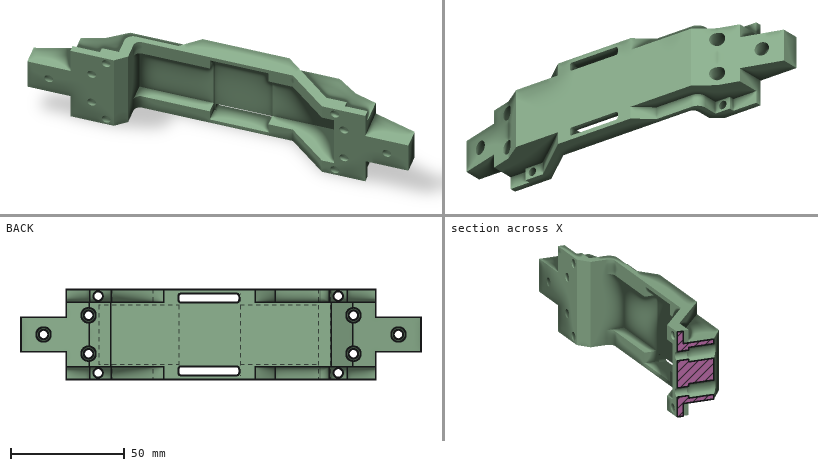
import cadquery as cq

length = 177.0
depth = 25.0
height = 40.0
core_height = 28.3
arm_height = 15.4
arm_length = 20.0

half_length = length / 2
body_end = half_length - arm_length

bridge_half = 48.7
shoulder_half = 58.2
shoulder_y = 18.2
tip_y = 9.2

foot_half = 48.3
arch_y = 14.9
arch_left = -43.0
arch_right = 30.1
arch_chamfer_y = 4.2
arch_fillet = 3.0

foot_thickness = 3.2
pad_thickness = 5.8
pad_left = -55.8
pad_right = 58.0
flange_y = 17.5
flange_wall_left = -47.8
flange_fillet = 4.0
left_ramp_start = -23.9
left_ramp_end = -15.0
right_ramp_start = 25.3
right_ramp_end = 48.5

pocket_right = 54.0
pocket_height = 26.2
pocket_floor_y = 20.5
recess_left = -8.5
recess_right = 18.8
recess_height = 36.1
recess_floor_y = 21.5

slot_left = -8.0
slot_height = 3.9
slot_corner = 1.0

hole_diameter = 4.0
arm_hole_x = half_length - arm_length / 2
inner_hole_x = 58.5
inner_hole_z = 8.5
corner_hole_left = -51.9
corner_hole_right = 54.3
corner_hole_z = 17.0

counterbore_diameter = 6.5
counterbore_floor_y = pad_thickness


def extrude_outline(points, z_height):
    """Prism with an XY outline, centred on Z = 0."""
    return cq.Workplane("XY").polyline(points).close().extrude(z_height / 2, both=True)


def block(x_min, x_max, y_min, y_max, z_height, z_middle=0):
    """Box given by its X and Y limits and its height about z_middle."""
    return (
        cq.Workplane("XY")
        .box(x_max - x_min, y_max - y_min, z_height)
        .translate(((x_min + x_max) / 2, (y_min + y_max) / 2, z_middle))
    )


def fillet_upright_edge(body, x, y, radius):
    """Round the edge parallel to Z that passes through (x, y)."""
    return body.edges(cq.selectors.NearestToPointSelector((x, y, 0))).fillet(radius)


def make_core():
    outline = [
        (-half_length, 0),
        (half_length, 0),
        (half_length, tip_y),
        (shoulder_half, shoulder_y),
        (bridge_half, depth),
        (-bridge_half, depth),
        (-shoulder_half, shoulder_y),
        (-half_length, tip_y),
    ]
    body_zone = block(-body_end, body_end, 0, depth, core_height)
    arm_zone = block(-half_length, half_length, 0, depth, arm_height)
    return extrude_outline(outline, core_height).intersect(body_zone.union(arm_zone))


def make_flanges():
    """Full-height plate that stands out above and below the core as two flanges."""
    outline = [
        (-body_end, 0),
        (body_end, 0),
        (body_end, foot_thickness),
        (pad_right, foot_thickness),
        (pad_right, pad_thickness),
        (right_ramp_end, pad_thickness),
        (right_ramp_start, depth),
        (left_ramp_end, depth),
        (left_ramp_start, flange_y),
        (flange_wall_left, flange_y),
        (flange_wall_left, pad_thickness),
        (pad_left, pad_thickness),
        (pad_left, foot_thickness),
        (-body_end, foot_thickness),
    ]
    plate = extrude_outline(outline, height)
    return fillet_upright_edge(plate, flange_wall_left, flange_y, flange_fillet)


def make_arch():
    outline = [
        (-foot_half, 0),
        (foot_half, 0),
        (arch_right, arch_y),
        (arch_left, arch_y),
        (arch_left, arch_chamfer_y),
    ]
    arch = extrude_outline(outline, height)
    return fillet_upright_edge(arch, arch_left, arch_y, arch_fillet)


def make_pocket():
    pocket = block(arch_left, pocket_right, 0, pocket_floor_y, pocket_height)
    recess = block(recess_left, recess_right, 0, recess_floor_y, recess_height)
    return pocket.union(recess)


def make_slots():
    middle_z = (recess_height - slot_height) / 2
    slots = cq.Workplane("XY")
    for side in (-1, 1):
        slot = block(slot_left, recess_right, 0, depth, slot_height, side * middle_z)
        slots = slots.add(slot.edges("|Y").fillet(slot_corner))
    return slots.combine()


def round_cuts(centres, diameter, y_start):
    """Cylinders along Y at the given (x, z) centres, from y_start to the back."""
    plane = cq.Workplane("XZ").workplane(offset=-y_start)
    return plane.pushPoints(centres).circle(diameter / 2).extrude(y_start - depth)


def make_holes():
    arm_and_inner = []
    corners = []
    for x_side, corner_hole_x in ((-1, corner_hole_left), (1, corner_hole_right)):
        arm_and_inner.append((x_side * arm_hole_x, 0))
        for z_side in (-1, 1):
            arm_and_inner.append((x_side * inner_hole_x, z_side * inner_hole_z))
            corners.append((corner_hole_x, z_side * corner_hole_z))
    holes = round_cuts(arm_and_inner + corners, hole_diameter, 0)
    return holes.union(round_cuts(arm_and_inner, counterbore_diameter, counterbore_floor_y))


result = make_core().union(make_flanges())
for cutter in (make_arch(), make_pocket(), make_slots(), make_holes()):
    result = result.cut(cutter)